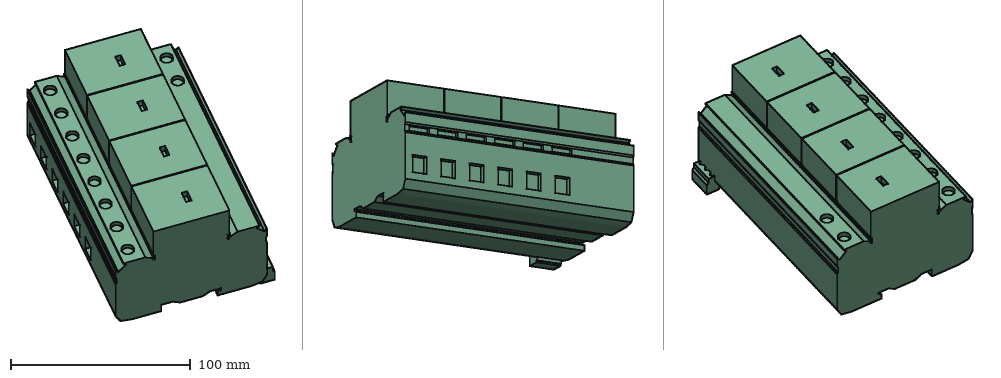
import cadquery as cq

length = 142.4
housing_half = 44.9
housing_top = 49.4
module_top = 69.3

module_count = 4
module_pitch = length / module_count
module_half = 22.5
module_floor = 20.2
module_gap = 0.5
lip_half = 23.0
lip_bottom = 48.5
neck_half = 21.5
neck_bottom = 45.4
slot_length = 7.1
slot_width = 3.3
slot_depth = 4.3
slot_y = 3.7

shoulder_half = 27.3
shoulder_inner_z = 46.7
label_top_lip_half = 40.5
label_bottom_lip_z = 45.0
label_upper = (38.7, 47.8)
label_lower = (43.3, 43.3)
label_lip_bevel = 0.3

groove_depth = 0.5
groove_upper = 39.2
groove_top = 38.0
groove_bottom = 34.3
groove_lower = 33.2

corner_z = 6.3
corner_half = 42.0
corner_foot_z = 1.1
foot_half = 35.3

rail_top = 5.3
rail_front_y = -17.8
rail_back_y = 17.5
catch_y = 15.5
catch_top = 4.3
catch_bottom = 3.1
pad_z = 2.8
pad_half = 6.8
pad_slope_half = 11.0

terminal_count = 8
terminal_pitch = length / terminal_count
back_terminal_count = 2
screw_y = 34.5
screw_diameter = 7.1
screw_depth = 2.8
wired_count = 6
window_width = 12.4
window_sill = 0.3
window_depth = 2.5
wire_width = 8.8
wire_bottom = 10.7
wire_top = 20.8
wire_depth = 3.5

connector_start = 125.7
connector_width = 15.1
connector_top = 9.4
connector_bottom = -2.0
connector_back = 50.0
connector_upper_back = 48.8
connector_step_top = 6.4
connector_step_bottom = 5.0
connector_front = 40.7
connector_notch = 1.0
pin_count = 3
pin_pitch = 5.3
pin_diameter = 3.0
pin_depth = 2.8


def extrude_along_x(points, start, width):
    """Extrude a closed (Y, Z) outline along +X from the given start."""
    return cq.Workplane("YZ", origin=(start, 0, 0)).polyline(points).close().extrude(width)


def box(x_range, y_range, z_range):
    """Make a box from its limits along X, Y and Z."""
    sizes = [high - low for low, high in (x_range, y_range, z_range)]
    corner = (x_range[0], y_range[0], z_range[0])
    return cq.Workplane("XY").box(*sizes, centered=False).translate(corner)


def mirrored(points):
    """Mirror (Y, Z) points about Y = 0 and reverse their order."""
    return [(-y, z) for y, z in reversed(points)]


def centered_range(middle, size):
    return middle - size / 2, middle + size / 2


def terminal_x(index):
    return (index + 0.5) * terminal_pitch


def make_housing():
    groove_half = housing_half - groove_depth
    flank = [
        (foot_half, 0),
        (corner_half, corner_foot_z),
        (housing_half, corner_z),
        (housing_half, groove_lower),
        (groove_half, groove_bottom),
        (groove_half, groove_top),
        (housing_half, groove_upper),
        (housing_half, label_bottom_lip_z - label_lip_bevel),
        (housing_half - label_lip_bevel, label_bottom_lip_z),
        label_lower,
        label_upper,
        (label_top_lip_half, housing_top - label_lip_bevel),
        (label_top_lip_half - label_lip_bevel, housing_top),
        (shoulder_half, housing_top),
        (module_half, shoulder_inner_z),
        (module_half, module_floor),
    ]
    rail = [
        (rail_front_y, 0),
        (rail_front_y, rail_top),
        (-pad_slope_half, rail_top),
        (-pad_half, pad_z),
        (pad_half, pad_z),
        (pad_slope_half, rail_top),
        (rail_back_y, rail_top),
        (rail_back_y, catch_top),
        (catch_y, catch_bottom),
        (catch_y, 0),
    ]
    return extrude_along_x(flank + mirrored(flank) + rail, 0, length)


def make_modules():
    side = [
        (module_half, module_floor),
        (module_half, neck_bottom),
        (neck_half, neck_bottom),
        (neck_half, lip_bottom),
        (lip_half, lip_bottom),
        (lip_half, housing_top),
        (module_half, housing_top),
        (module_half, module_top),
    ]
    modules = extrude_along_x(side + mirrored(side), 0, length)
    for index in range(1, module_count):
        gap_x = centered_range(index * module_pitch, module_gap)
        modules = modules.cut(box(gap_x, (-module_half, module_half), (housing_top, module_top)))
    for index in range(module_count):
        slot_x = centered_range((index + 0.5) * module_pitch, slot_length)
        slot_z = (module_top - slot_depth, module_top)
        modules = modules.cut(box(slot_x, centered_range(slot_y, slot_width), slot_z))
    return modules


def make_screw_holes():
    front = [(terminal_x(index), -screw_y) for index in range(terminal_count)]
    back = [(terminal_x(index), screw_y) for index in range(back_terminal_count)]
    top = cq.Workplane("XY", origin=(0, 0, housing_top))
    return top.pushPoints(front + back).circle(screw_diameter / 2).extrude(-screw_depth)


def cut_wire_openings(body):
    """Cut a window in the front groove and a wire entry below it at each wired terminal."""
    window_y = (-housing_half, -housing_half + groove_depth + window_depth)
    window_z = (groove_bottom + window_sill, groove_top)
    wire_y = (-housing_half, -housing_half + wire_depth)
    for index in range(wired_count):
        window_x = centered_range(terminal_x(index), window_width)
        wire_x = centered_range(terminal_x(index), wire_width)
        body = body.cut(box(window_x, window_y, window_z))
        body = body.cut(box(wire_x, wire_y, (wire_bottom, wire_top)))
    return body


def make_connector():
    outline = [
        (connector_front, connector_top),
        (connector_upper_back, connector_top),
        (connector_upper_back, connector_step_top),
        (connector_back, connector_step_bottom),
        (connector_back, connector_bottom),
        (connector_front + connector_notch, connector_bottom),
        (connector_front + connector_notch, connector_bottom + connector_notch),
        (connector_front, connector_bottom + connector_notch),
    ]
    connector = extrude_along_x(outline, connector_start, connector_width)
    middle_x = connector_start + connector_width / 2
    pins = (
        cq.Workplane("XY", origin=(middle_x, housing_half, connector_top))
        .rarray(pin_pitch, 1.4, pin_count, 1)
        .circle(pin_diameter / 2)
        .extrude(-pin_depth)
    )
    return connector.cut(pins)


housing = cut_wire_openings(make_housing().cut(make_screw_holes()))
result = housing.union(make_modules()).union(make_connector())